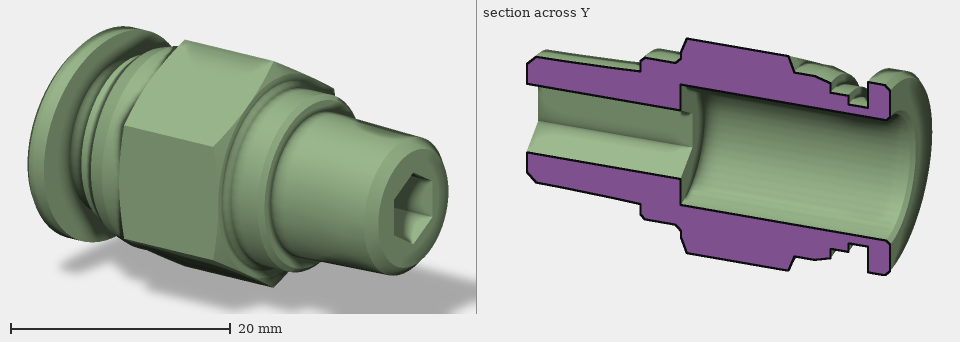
import cadquery as cq
import math

total_length = 35.4

flange_half_width = 11.25
flange_half_height = 9.75
flange_end = 2.2
flange_chamfer = 0.53

neck_radius = 7.1
neck_end = 4.07
sleeve_radius = 8.0
sleeve_end = 5.8
shoulder_radius = 9.4
shoulder_lead_radius = 8.95
shoulder_lead_end = 7.35

hex_across_corners = 21.95
hex_start = 9.35
hex_end = 20.4
hex_chamfer_length = 0.55
hex_corner_radius = hex_across_corners / 2
hex_flat_radius = hex_corner_radius * math.cos(math.radians(30))

collar_radius = 8.3
collar_root_flare = 0.53
collar_end = 24.35
collar_chamfer = 0.45

plug_root_radius = 6.8
plug_tip_radius = 6.45
plug_chamfer = 0.92

bore_radius = 6.12
bore_chamfer = 0.4
bore_depth = hex_end
key_across_flats = 6.02
key_across_corners = key_across_flats / math.cos(math.radians(30))


def revolve_about_x(profile):
    """Solid of revolution about X from an (x, radius) outline."""
    return cq.Workplane("XY").polyline(profile).close().revolve(360, (0, 0, 0), (1, 0, 0))


def hex_prism(across_corners, start, end):
    """Hexagonal prism along X with two of its corners on the Z axis."""
    prism = cq.Workplane("YZ", origin=(start, 0, 0)).polygon(6, across_corners).extrude(end - start)
    return prism.rotate((0, 0, 0), (1, 0, 0), 90)


def make_flange():
    """Elliptical flange, widest along Y, chamfered on its open end."""
    flange = cq.Workplane("YZ").ellipse(flange_half_width, flange_half_height).extrude(flange_end)
    return flange.faces("<X").chamfer(flange_chamfer)


def make_turned_body():
    """All the round steps, from behind the flange to the plug tip."""
    return revolve_about_x([
        (flange_end, 0),
        (flange_end, neck_radius),
        (neck_end, neck_radius),
        (neck_end, sleeve_radius),
        (sleeve_end, sleeve_radius),
        (sleeve_end, shoulder_lead_radius),
        (shoulder_lead_end, shoulder_radius),
        (hex_start, shoulder_radius),
        (hex_end, collar_radius + collar_root_flare),
        (hex_end + collar_root_flare, collar_radius),
        (collar_end - collar_chamfer, collar_radius),
        (collar_end, collar_radius - collar_chamfer),
        (collar_end, plug_root_radius),
        (total_length - plug_chamfer, plug_tip_radius),
        (total_length, plug_tip_radius - plug_chamfer),
        (total_length, 0),
    ])


def make_wrench_hex():
    """Hexagon whose corners are turned down to the flats at both ends."""
    turned_envelope = revolve_about_x([
        (hex_start, 0),
        (hex_start, hex_flat_radius),
        (hex_start + hex_chamfer_length, hex_corner_radius),
        (hex_end - hex_chamfer_length, hex_corner_radius),
        (hex_end, hex_flat_radius),
        (hex_end, 0),
    ])
    return hex_prism(hex_across_corners, hex_start, hex_end).intersect(turned_envelope)


def make_bore():
    """Flat-bottomed tube bore with a chamfered mouth."""
    return revolve_about_x([
        (0, 0),
        (0, bore_radius + bore_chamfer),
        (bore_chamfer, bore_radius),
        (bore_depth, bore_radius),
        (bore_depth, 0),
    ])


body = make_turned_body().union(make_flange()).union(make_wrench_hex())
key_passage = hex_prism(key_across_corners, 0, total_length)
result = body.cut(make_bore()).cut(key_passage)